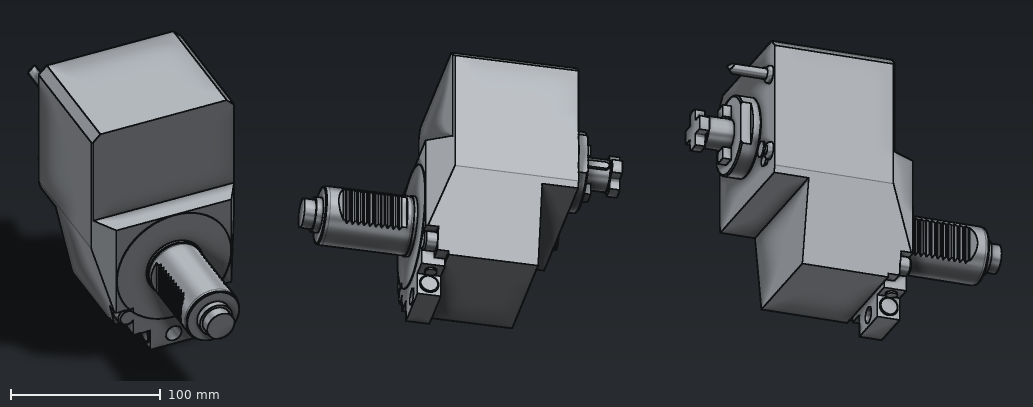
import cadquery as cq
import math


BODY_WIDTH = 105.0
BODY_LEFT = -103.0
BODY_RIGHT = -0.5
BODY_TOP = 112.0
BODY_BOTTOM = -45.0
HEAD_RIGHT = -17.0
SHOULDER_Z = 42.0
HEAD_BOTTOM = 12.8
FOOT_LEFT = -78.3
TOP_CHAMFER = 6.0
TAPER_START_Z = 18.0
TAPER_ANGLE = 12.0
SIDE_BEVEL_START_X = -18.3
SIDE_BEVEL_ANGLE = 30.0
FACE_PAD_RADIUS = 42.0

SHANK_RADIUS = 20.0
SHANK_END = 62.7
COLLAR_RADIUS = 20.5
COLLAR_LENGTH = 2.2
RELIEF_RADIUS = 19.6
RELIEF_END = 3.9
END_TAPER_START = 59.8
END_TAPER_STOP = 61.9
END_TAPER_RADIUS = 19.6
END_FACE_RADIUS = 19.0
SHANK_STEPS = [(11.9, 67.3), (10.0, 75.0)]
RACK_START = 6.6
RACK_END = 50.0
RACK_FLAT_Y = 16.0
TOOTH_PITCH = 4.0
TOOTH_COUNT = 10
TOOTH_DEPTH = 1.4
FIRST_TOOTH_X = 11.4

SPINDLE_Z = 60.0
FLANGE_RADIUS = 27.5
FLANGE_FRONT = -116.2
FLANGE_CHAMFER = 1.0
FLANGE_NECK_RADIUS = 26.5
FLANGE_NECK_LENGTH = 0.8
FLAT_Y = 23.0
FLAT_END = -109.0
ARBOR_RADIUS = 11.0
ARBOR_NECK_RADIUS = 10.5
ARBOR_NECK_LENGTH = 0.8
CROSS_LEFT = -142.0
CROSS_RIGHT = -135.0
CROSS_RADIUS = 14.0
CROSS_ARM_WIDTH = 10.0
CROSS_FILLET = 1.2
DRIVE_KEY_REACH = 19.6
DRIVE_KEY_INNER = 11.3
DRIVE_KEY_WIDTH = 10.0
DRIVE_KEY_FRONT = -122.2
FEATHER_LEFT = -133.2
FEATHER_RIGHT = -117.2
FEATHER_TOP_Y = 12.9
FEATHER_WIDTH = 5.0

PORT_Y = -44.0
PORT_OFFSET_Z = 28.0
DOME_RADIUS = 6.0
DOME_HEIGHT = 3.3
PIN_RADIUS = 3.6
PORT_WAIST_RADIUS = 3.2
PORT_CAP_RADIUS = 3.8
PORT_RIM_RADIUS = 5.5
PORT_RIM_THICKNESS = 1.2
PORT_FRONT = -109.9
PIN_TIP_X = -133.3
BUTTON_Y = -36.4
BUTTON_OFFSET_Z = 32.0
BUTTON_RADIUS = 4.2
BUTTON_FACE_RADIUS = 2.8
BUTTON_HEIGHT = 2.0

POCKET_LEFT = -9.2
POCKET_TOP = -26.3
SEAT_Z = -42.6
CLAMP_LEFT = -16.5
CLAMP_PLATE_WIDTH = 59.6
CLAMP_PLATE_BOTTOM = -48.5
CLAMP_BLOCK_WIDTH = 34.6
CLAMP_BOTTOM = -64.5
CLAMP_AXIS_Z = -55.9
CLAMP_BORE_RADIUS = 5.7
PLUG_RADIUS = 6.5
PLUG_HEIGHT = 0.9
PLUG_CHAMFER = 0.6
HEAD_SCREW_RADIUS = 6.5
HEAD_SCREW_Y = 34.0
HEAD_SCREW_CHAMFER = 1.2
LOWER_SCREW_RADIUS = 4.0
LOWER_SCREW_Y = 22.6
LOWER_SCREW_HEIGHT = 1.5

OVERLAP = 2.0


def box(x_range, y_range, z_range):
    """Axis-aligned block from its lower and upper limits along each axis."""
    low, high = zip(x_range, y_range, z_range)
    sizes = [b - a for a, b in zip(low, high)]
    return cq.Workplane("XY").box(*sizes, centered=False).translate(low)


def centred_box(x_range, width, z_range):
    """Block that is symmetric about Y = 0."""
    return box(x_range, (-width / 2, width / 2), z_range)


def rod(radius, x_start, x_end, y=0.0, z=0.0):
    """Cylinder along X."""
    return cq.Workplane("YZ", origin=(x_start, y, z)).circle(radius).extrude(x_end - x_start)


def revolved(profile, y=0.0, z=0.0):
    """Turn a closed profile, drawn with X along and Y outwards, about the X direction."""
    return profile.close().revolve(360, (0, 0, 0), (1, 0, 0)).translate((0, y, z))


def housing():
    """Stepped side outline, trimmed by the tapered end outline and the bevelled plan."""
    half = BODY_WIDTH / 2
    foot_half = half - (TAPER_START_Z - BODY_BOTTOM) * math.tan(math.radians(TAPER_ANGLE))
    face_half = half - (BODY_RIGHT - SIDE_BEVEL_START_X) * math.tan(math.radians(SIDE_BEVEL_ANGLE))

    side = (
        cq.Workplane("XZ")
        .moveTo(BODY_LEFT, BODY_TOP)
        .lineTo(HEAD_RIGHT, BODY_TOP)
        .lineTo(HEAD_RIGHT, SHOULDER_Z)
        .lineTo(BODY_RIGHT, SHOULDER_Z)
        .lineTo(BODY_RIGHT, POCKET_TOP)
        .lineTo(POCKET_LEFT, POCKET_TOP)
        .lineTo(POCKET_LEFT, SEAT_Z)
        .lineTo(HEAD_RIGHT, SEAT_Z)
        .lineTo(HEAD_RIGHT, BODY_BOTTOM)
        .lineTo(FOOT_LEFT, BODY_BOTTOM)
        .lineTo(FOOT_LEFT, HEAD_BOTTOM)
        .lineTo(BODY_LEFT, HEAD_BOTTOM)
        .close()
        .extrude(half, both=True)
    )
    end = (
        cq.Workplane("YZ", origin=(BODY_LEFT, 0, 0))
        .polyline([
            (half - TOP_CHAMFER, BODY_TOP),
            (half, BODY_TOP - TOP_CHAMFER),
            (half, TAPER_START_Z),
            (foot_half, BODY_BOTTOM),
            (-foot_half, BODY_BOTTOM),
            (-half, TAPER_START_Z),
            (-half, BODY_TOP - TOP_CHAMFER),
            (TOP_CHAMFER - half, BODY_TOP),
        ])
        .close()
        .extrude(BODY_RIGHT - BODY_LEFT)
    )
    plan = (
        cq.Workplane("XY", origin=(0, 0, BODY_BOTTOM))
        .polyline([
            (BODY_LEFT, -half),
            (SIDE_BEVEL_START_X, -half),
            (BODY_RIGHT, -face_half),
            (BODY_RIGHT, face_half),
            (SIDE_BEVEL_START_X, half),
            (BODY_LEFT, half),
        ])
        .close()
        .extrude(BODY_TOP - BODY_BOTTOM)
    )
    face_pad = rod(FACE_PAD_RADIUS, BODY_RIGHT, 0)
    return side.intersect(end).intersect(plan).union(face_pad)


def rack_cutter(side):
    """Toothed flat on one side of the shank (side is +1 or -1)."""
    root_y = RACK_FLAT_Y - TOOTH_DEPTH
    outside_y = SHANK_RADIUS + OVERLAP
    outline = cq.Workplane("XY", origin=(0, 0, -SHANK_RADIUS)).moveTo(RACK_START, side * outside_y)
    outline = outline.lineTo(RACK_START, side * RACK_FLAT_Y)
    for index in range(TOOTH_COUNT):
        x = FIRST_TOOTH_X + index * TOOTH_PITCH
        outline = outline.lineTo(x - TOOTH_DEPTH, side * RACK_FLAT_Y)
        outline = outline.lineTo(x, side * root_y)
        outline = outline.lineTo(x + TOOTH_DEPTH, side * RACK_FLAT_Y)
    outline = outline.lineTo(RACK_END, side * RACK_FLAT_Y)
    outline = outline.lineTo(RACK_END + outside_y - RACK_FLAT_Y, side * outside_y)
    return outline.close().extrude(2 * SHANK_RADIUS)


def shank():
    barrel = revolved(
        cq.Workplane("XY")
        .moveTo(-OVERLAP, 0)
        .lineTo(-OVERLAP, COLLAR_RADIUS)
        .lineTo(COLLAR_LENGTH, COLLAR_RADIUS)
        .lineTo(COLLAR_LENGTH, RELIEF_RADIUS)
        .lineTo(RELIEF_END, SHANK_RADIUS)
        .lineTo(END_TAPER_START, SHANK_RADIUS)
        .lineTo(END_TAPER_STOP, END_TAPER_RADIUS)
        .lineTo(SHANK_END, END_FACE_RADIUS)
        .lineTo(SHANK_END, 0)
    )
    for side in (1, -1):
        barrel = barrel.cut(rack_cutter(side))
    for radius, far_end in SHANK_STEPS:
        barrel = barrel.union(rod(radius, SHANK_END - OVERLAP, far_end))
    return barrel


def spindle_flange():
    flange = revolved(
        cq.Workplane("XY")
        .moveTo(FLANGE_FRONT, 0)
        .lineTo(FLANGE_FRONT, FLANGE_RADIUS - FLANGE_CHAMFER)
        .lineTo(FLANGE_FRONT + FLANGE_CHAMFER, FLANGE_RADIUS)
        .lineTo(BODY_LEFT - FLANGE_NECK_LENGTH, FLANGE_RADIUS)
        .lineTo(BODY_LEFT - FLANGE_NECK_LENGTH, FLANGE_NECK_RADIUS)
        .lineTo(BODY_LEFT + OVERLAP, FLANGE_NECK_RADIUS)
        .lineTo(BODY_LEFT + OVERLAP, 0),
        z=SPINDLE_Z,
    )
    full_height = (SPINDLE_Z - FLANGE_RADIUS, SPINDLE_Z + FLANGE_RADIUS)
    for side in (1, -1):
        y_range = sorted((side * FLAT_Y, side * (FLANGE_RADIUS + OVERLAP)))
        flange = flange.cut(box((FLANGE_FRONT, FLAT_END), y_range, full_height))
    return flange


def spindle_arbor():
    """Arbor with its cross-shaped head, two drive keys and a feather key."""
    cross_arm = CROSS_ARM_WIDTH / 2
    cross_x = (CROSS_LEFT, CROSS_RIGHT)
    upright = centred_box(
        cross_x, CROSS_ARM_WIDTH, (SPINDLE_Z - CROSS_RADIUS, SPINDLE_Z + CROSS_RADIUS)
    )
    level = centred_box(cross_x, 2 * CROSS_RADIUS, (SPINDLE_Z - cross_arm, SPINDLE_Z + cross_arm))
    inner_corners = cq.selectors.BoxSelector(
        (CROSS_LEFT, -cross_arm - CROSS_FILLET, SPINDLE_Z - cross_arm - CROSS_FILLET),
        (CROSS_RIGHT, cross_arm + CROSS_FILLET, SPINDLE_Z + cross_arm + CROSS_FILLET),
    )
    cross = upright.union(level).edges("|X").edges(inner_corners).fillet(CROSS_FILLET)
    head = rod(CROSS_RADIUS, CROSS_LEFT, CROSS_RIGHT, z=SPINDLE_Z).intersect(cross)

    neck_end = CROSS_RIGHT + ARBOR_NECK_LENGTH
    neck = rod(ARBOR_NECK_RADIUS, CROSS_RIGHT, neck_end, z=SPINDLE_Z)
    arbor = rod(ARBOR_RADIUS, neck_end, FLANGE_FRONT + OVERLAP, z=SPINDLE_Z)
    for side in (1, -1):
        key_z = sorted((SPINDLE_Z + side * DRIVE_KEY_INNER, SPINDLE_Z + side * DRIVE_KEY_REACH))
        drive_key = centred_box((DRIVE_KEY_FRONT, FLANGE_FRONT + OVERLAP), DRIVE_KEY_WIDTH, key_z)
        arbor = arbor.union(drive_key)
    feather_root_y = ARBOR_RADIUS - OVERLAP
    feather = (
        cq.Workplane("XZ", origin=((FEATHER_LEFT + FEATHER_RIGHT) / 2, feather_root_y, SPINDLE_Z))
        .slot2D(FEATHER_RIGHT - FEATHER_LEFT, FEATHER_WIDTH)
        .extrude(feather_root_y - FEATHER_TOP_Y)
    )
    return head.union(neck).union(arbor).union(feather)


def add_dome(outline, tip_radius):
    """Continue an outline from a dome tip of the given radius round to the axis inside the body."""
    diagonal = math.sqrt(0.5)
    middle = (
        BODY_LEFT - DOME_HEIGHT * diagonal,
        tip_radius + (DOME_RADIUS - tip_radius) * diagonal,
    )
    return (
        outline.lineTo(BODY_LEFT - DOME_HEIGHT, tip_radius)
        .threePointArc(middle, (BODY_LEFT, DOME_RADIUS))
        .lineTo(BODY_LEFT + OVERLAP, DOME_RADIUS)
        .lineTo(BODY_LEFT + OVERLAP, 0)
    )


def coolant_pin():
    """Pin in the upper port, with a domed root and a two-sided 45 degree chisel tip."""
    z = SPINDLE_Z + PORT_OFFSET_Z
    outline = cq.Workplane("XY").moveTo(PIN_TIP_X, 0).lineTo(PIN_TIP_X, PIN_RADIUS)
    pin = revolved(add_dome(outline, PIN_RADIUS), PORT_Y, z)
    reach = BODY_LEFT + OVERLAP - PIN_TIP_X
    wedge = (
        cq.Workplane("XY")
        .polyline([(0, 0), (reach, -reach), (reach, reach)])
        .close()
        .extrude(DOME_RADIUS, both=True)
        .rotate((0, 0, 0), (1, 0, 0), -45)
        .translate((PIN_TIP_X, PORT_Y, z))
    )
    return pin.intersect(wedge)


def port_plug():
    """Rimmed plug on the domed root of the lower port."""
    rim_back = PORT_FRONT + PORT_RIM_THICKNESS
    outline = (
        cq.Workplane("XY")
        .moveTo(PORT_FRONT, 0)
        .lineTo(PORT_FRONT, PORT_RIM_RADIUS)
        .lineTo(rim_back, PORT_RIM_RADIUS)
        .lineTo(rim_back, PORT_CAP_RADIUS)
    )
    return revolved(add_dome(outline, PORT_WAIST_RADIUS), PORT_Y, SPINDLE_Z - PORT_OFFSET_Z)


def button(side):
    """Small button that widens away from the face, above (+1) or below (-1) the spindle."""
    return revolved(
        cq.Workplane("XY")
        .moveTo(BODY_LEFT - BUTTON_HEIGHT, 0)
        .lineTo(BODY_LEFT - BUTTON_HEIGHT, BUTTON_RADIUS)
        .lineTo(BODY_LEFT, BUTTON_FACE_RADIUS)
        .lineTo(BODY_LEFT + OVERLAP, BUTTON_FACE_RADIUS)
        .lineTo(BODY_LEFT + OVERLAP, 0),
        BUTTON_Y,
        SPINDLE_Z + side * BUTTON_OFFSET_Z,
    )


def clamp():
    """Stepped clamp with a bored block, side plugs and fixing screws."""
    clamp_x = (CLAMP_LEFT, BODY_RIGHT)
    middle_x = sum(clamp_x) / 2
    upper = centred_box((POCKET_LEFT, BODY_RIGHT), CLAMP_PLATE_WIDTH, (SEAT_Z, POCKET_TOP))
    plate = centred_box(clamp_x, CLAMP_PLATE_WIDTH, (CLAMP_PLATE_BOTTOM, SEAT_Z))
    block = centred_box(clamp_x, CLAMP_BLOCK_WIDTH, (CLAMP_BOTTOM, SEAT_Z))
    plugs = (
        cq.Workplane("XZ", origin=(middle_x, 0, CLAMP_AXIS_Z))
        .circle(PLUG_RADIUS)
        .extrude(CLAMP_BLOCK_WIDTH / 2 + PLUG_HEIGHT, both=True)
        .faces("<Y or >Y")
        .chamfer(PLUG_CHAMFER)
    )
    body = upper.union(plate).union(block).union(plugs)
    body = body.cut(rod(CLAMP_BORE_RADIUS, CLAMP_LEFT, BODY_RIGHT, z=CLAMP_AXIS_Z))

    head_screw_z = POCKET_TOP - HEAD_SCREW_RADIUS
    for side in (1, -1):
        head_screw = rod(
            HEAD_SCREW_RADIUS, POCKET_LEFT, BODY_RIGHT, side * HEAD_SCREW_Y, head_screw_z
        )
        head_screw = head_screw.faces(">X").chamfer(HEAD_SCREW_CHAMFER)
        lower_screw = (
            cq.Workplane("XY", origin=(middle_x, side * LOWER_SCREW_Y, CLAMP_PLATE_BOTTOM))
            .circle(LOWER_SCREW_RADIUS)
            .extrude(-LOWER_SCREW_HEIGHT)
        )
        body = body.union(head_screw).union(lower_screw)
    return body


result = housing()
for feature in (
    shank(),
    spindle_flange(),
    spindle_arbor(),
    coolant_pin(),
    port_plug(),
    button(1),
    button(-1),
    clamp(),
):
    result = result.union(feature)